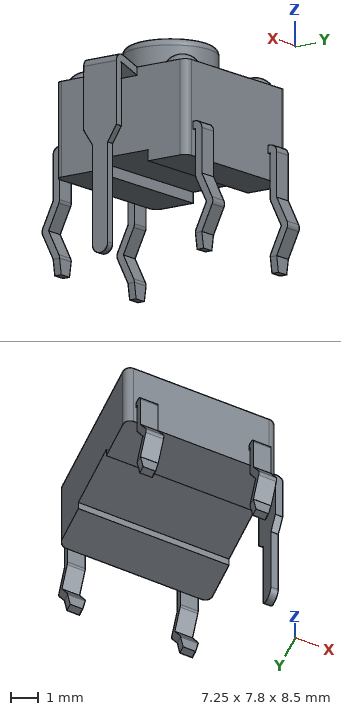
import cadquery as cq
import math


overall_height = 8.5
sheet = 0.3

body_side = 6.0
body_bottom = 3.5
body_height = 3.595
body_corner_radius = 0.3
notch_width = 2.5
notch_height = 0.42

button_diameter = 3.52
button_edge_radius = 0.3
rivet_offset = 2.2
rivet_radius = 0.655
rivet_height = 0.41

terminal_spacing = 4.5
terminal_width = 0.705
terminal_gap = 0.1
terminal_top = 4.8
terminal_span = 7.8
crimp_top = 2.8
tip_height = 0.6
tip_width = 0.5

ground_reach = 1.25
ground_width = 1.5
ground_leg_width = terminal_width
taper_top = 4.7
taper_bottom = 4.1

half_body = body_side / 2
body_top = body_bottom + body_height
terminal_outer = half_body + terminal_gap + sheet
ground_outer = half_body + ground_reach


def polar(center, radius, angle):
    """Point at a distance and an angle from a centre, in a 2D plane."""
    return (center[0] + radius * math.cos(angle), center[1] + radius * math.sin(angle))


def make_body():
    block = (
        cq.Workplane("XY", origin=(0, 0, body_bottom))
        .rect(body_side, body_side)
        .extrude(body_height)
        .edges("|Z")
        .fillet(body_corner_radius)
    )
    notch = (
        cq.Workplane("XY", origin=(0, 0, body_bottom))
        .rect(body_side, notch_width)
        .extrude(notch_height)
    )
    return block.cut(notch)


def make_button():
    return (
        cq.Workplane("XY", origin=(0, 0, body_top))
        .circle(button_diameter / 2)
        .extrude(overall_height - body_top)
        .faces(">Z")
        .edges()
        .fillet(button_edge_radius)
    )


def make_rivet(x, y):
    """Spherical cap standing on the top of the body."""
    sphere_radius = (rivet_radius**2 + rivet_height**2) / (2 * rivet_height)
    sphere_center = body_top + rivet_height - sphere_radius
    sphere = cq.Workplane("XY", origin=(x, y, sphere_center)).sphere(sphere_radius)
    keep = (
        cq.Workplane("XY", origin=(x, y, body_top))
        .circle(sphere_radius)
        .extrude(sphere_radius)
    )
    return sphere.intersect(keep)


def make_terminal(x):
    """Terminal on the +Y side: bent strip, crimped outwards, with a tapered tip."""
    terminal_inner = terminal_outer - sheet
    elbow = (terminal_inner, terminal_top - sheet)

    half_crimp = (crimp_top - tip_height) / 2
    crest_inner = terminal_span / 2 - sheet
    inner_rise = crest_inner - terminal_outer
    slope = math.asin(sheet / math.hypot(half_crimp, inner_rise)) + math.atan2(inner_rise, half_crimp)

    crest = (crest_inner, tip_height + half_crimp)
    upper_knee = (terminal_outer, crimp_top)
    lower_knee = (terminal_outer, tip_height)

    profile = (
        cq.Workplane("YZ", origin=(x, 0, 0))
        .moveTo(half_body, terminal_top)
        .lineTo(terminal_inner, terminal_top)
        .threePointArc(polar(elbow, sheet, math.pi / 4), polar(elbow, sheet, 0))
        .lineTo(*upper_knee)
        .lineTo(*polar(crest, sheet, slope))
        .threePointArc(polar(crest, sheet, 0), polar(crest, sheet, -slope))
        .lineTo(*lower_knee)
        .lineTo(terminal_outer, 0)
        .lineTo(terminal_inner, 0)
        .lineTo(*polar(lower_knee, sheet, math.pi))
        .threePointArc(
            polar(lower_knee, sheet, math.pi - slope / 2),
            polar(lower_knee, sheet, math.pi - slope),
        )
        .lineTo(*crest)
        .lineTo(*polar(upper_knee, sheet, math.pi + slope))
        .threePointArc(
            polar(upper_knee, sheet, math.pi + slope / 2),
            polar(upper_knee, sheet, math.pi),
        )
        .lineTo(*elbow)
        .lineTo(half_body, terminal_top - sheet)
        .close()
        .extrude(terminal_width / 2, both=True)
    )
    width_outline = (
        cq.Workplane("XZ", origin=(x, 0, 0))
        .polyline([
            (-terminal_width / 2, terminal_top),
            (-terminal_width / 2, tip_height),
            (-tip_width / 2, 0),
            (tip_width / 2, 0),
            (terminal_width / 2, tip_height),
            (terminal_width / 2, terminal_top),
        ])
        .close()
        .extrude(-terminal_span)
    )
    return profile.intersect(width_outline)


def make_ground_strip():
    """Strip rising from the top edge of the +X wall and bent down into a narrow leg."""
    ground_inner = ground_outer - sheet
    bend = (ground_inner, body_top)

    slope = math.asin(sheet / (ground_inner - half_body))
    bend_start = math.pi / 2 + slope
    root_bottom = body_top - sheet / math.cos(slope)

    profile = (
        cq.Workplane("XZ")
        .moveTo(half_body, body_top)
        .lineTo(*polar(bend, sheet, bend_start))
        .threePointArc(polar(bend, sheet, bend_start / 2), polar(bend, sheet, 0))
        .lineTo(ground_outer, 0)
        .lineTo(ground_inner, 0)
        .lineTo(*bend)
        .lineTo(half_body, root_bottom)
        .close()
        .extrude(ground_width / 2, both=True)
    )
    half_leg = ground_leg_width / 2
    half_strip = ground_width / 2
    width_outline = (
        cq.Workplane("YZ", origin=(half_body, 0, 0))
        .moveTo(-half_strip, overall_height)
        .lineTo(-half_strip, taper_top)
        .lineTo(-half_leg, taper_bottom)
        .lineTo(-half_leg, half_leg)
        .threePointArc((0, 0), (half_leg, half_leg))
        .lineTo(half_leg, taper_bottom)
        .lineTo(half_strip, taper_top)
        .lineTo(half_strip, overall_height)
        .close()
        .extrude(ground_reach)
    )
    return profile.intersect(width_outline)


result = make_body().union(make_button()).union(make_ground_strip())

for x_side in (-1, 1):
    for y_side in (-1, 1):
        result = result.union(make_rivet(x_side * rivet_offset, y_side * rivet_offset))

    terminal = make_terminal(x_side * terminal_spacing / 2)
    result = result.union(terminal).union(terminal.mirror("XZ"))